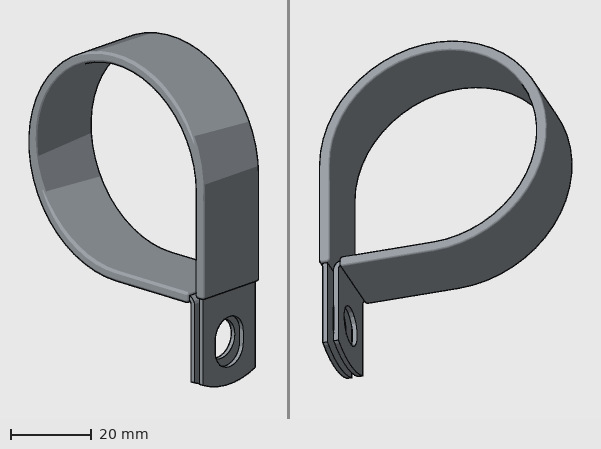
import cadquery as cq
import math

total_height = 82.2
outer_diameter = 59.6
strap_thickness = 1.2
strap_width = 19.1
cushion_cover = 0.8
side_length = 27.8
base_length = 24.4
tab_pitch = 2.9
bend_radius = 1.65
tab_end_sagitta = 2.05
hole_diameter = 10.2
slot_length = 13.15
hole_to_tip = 11.2
seam_tolerance = 0.1

outer_radius = outer_diameter / 2
cushion_thickness = strap_thickness + 2 * cushion_cover
cushion_width = strap_width + 2 * cushion_cover
center_radius = outer_radius - cushion_thickness / 2
tip_z = outer_radius - total_height
base_tab_x = center_radius - tab_pitch
base_tab_start_x = base_length / 2
side_tab_top_z = -side_length / 2
tab_corner_z = tip_z + tab_end_sagitta
hole_z = tip_z + hole_to_tip


def make_cushion():
    """Three-quarter loop with two straight ends and all edges rounded."""
    inner_radius = outer_radius - cushion_thickness
    diagonal = math.cos(math.radians(45))
    outline = (
        cq.Workplane("XZ", origin=(0, cushion_width / 2, 0))
        .moveTo(outer_radius, -side_length)
        .lineTo(outer_radius, 0)
        .threePointArc((-outer_radius * diagonal, outer_radius * diagonal), (0, -outer_radius))
        .lineTo(base_length, -outer_radius)
        .lineTo(base_length, -inner_radius)
        .lineTo(0, -inner_radius)
        .threePointArc((-inner_radius * diagonal, inner_radius * diagonal), (inner_radius, 0))
        .lineTo(inner_radius, -side_length)
        .close()
    )
    ring = outline.extrude(cushion_width)
    cross_edges = ring.edges("|Y").filter(
        lambda edge: edge.Center().x > seam_tolerance and edge.Center().z < -seam_tolerance
    )
    return ring.faces("<Y or >Y").edges().add(cross_edges).fillet(cushion_cover)


def make_side_tab():
    """Flat strap running down from the straight side, with a vertical bolt slot."""
    tab = (
        cq.Workplane("XY", origin=(center_radius, 0, tip_z))
        .rect(strap_thickness, strap_width)
        .extrude(side_tab_top_z - tip_z)
    )
    slot = (
        cq.Workplane("YZ", origin=(center_radius, 0, hole_z))
        .slot2D(slot_length, hole_diameter, 90)
        .extrude(strap_thickness, both=True)
    )
    return tab.cut(slot)


def make_base_tab():
    """Strap leaving the base of the loop and bending down."""
    path = (
        cq.Workplane("XZ")
        .moveTo(base_tab_start_x, -center_radius)
        .lineTo(base_tab_x - bend_radius, -center_radius)
        .radiusArc((base_tab_x, -center_radius - bend_radius), bend_radius)
        .lineTo(base_tab_x, tip_z)
    )
    section = cq.Workplane("YZ", origin=(base_tab_start_x, 0, -center_radius))
    return section.rect(strap_width, strap_thickness).sweep(path)


def make_tab_envelope():
    """Outline shared by both tabs: straight sides, arched tip and bolt hole."""
    half_width = strap_width / 2
    return (
        cq.Workplane("YZ")
        .moveTo(-half_width, 0)
        .lineTo(-half_width, tab_corner_z)
        .threePointArc((0, tip_z), (half_width, tab_corner_z))
        .lineTo(half_width, 0)
        .close()
        .moveTo(0, hole_z)
        .circle(hole_diameter / 2)
        .extrude(outer_radius)
    )


tabs = make_side_tab().union(make_base_tab()).intersect(make_tab_envelope())
result = make_cushion().union(tabs)